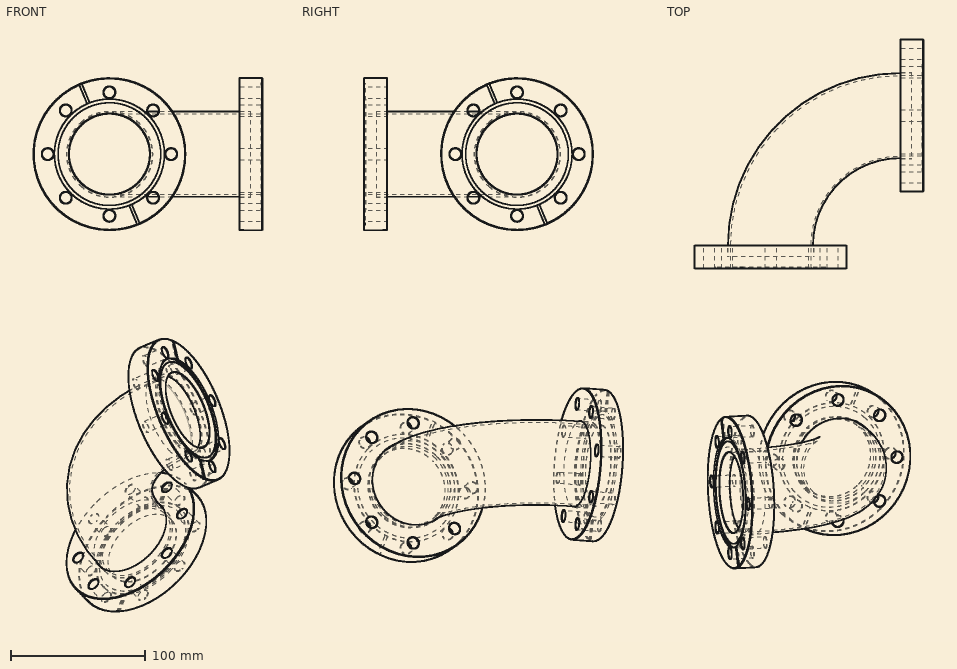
import cadquery as cq
import math

overall_length = 171.0
flange_diameter = 113.5
flange_thickness = 17.6
rim_chamfer = 0.5
port_offset = flange_diameter / 2
port_reach = overall_length - port_offset

bolt_count = 8
bolt_circle_diameter = 92.0
bolt_hole_diameter = 8.4
bolt_hole_chamfer = 0.43

recess_diameter = 82.1
recess_depth = 1.5
knife_edge_diameter = 76.6
knife_edge_depth = 0.5
flat_depth = 1.0

groove_width = 2.0
groove_depth = 1.0
groove_angle = 112.5

tube_outer_diameter = 63.6
tube_inner_diameter = 60.0
socket_diameter = 64.3
flange_bore_diameter = 60.2
bore_chamfer = 0.3
tube_end_depth = 9.2
bend_start_depth = flange_thickness
bend_radius = port_reach - bend_start_depth

front_port = cq.Plane(origin=(0, -port_reach, 0), xDir=(1, 0, 0), normal=(0, -1, 0))


def make_blank():
    """Chamfered disc with the tube socket behind and the narrower bore in front."""
    return (
        cq.Workplane("XY")
        .circle(flange_diameter / 2)
        .extrude(-flange_thickness)
        .faces("<Z or >Z")
        .edges()
        .chamfer(rim_chamfer)
        .faces("<Z")
        .workplane()
        .circle(socket_diameter / 2)
        .cutBlind(-(flange_thickness - tube_end_depth))
        .faces(">Z")
        .workplane()
        .circle(flange_bore_diameter / 2)
        .cutThruAll()
    )


def make_seal_recess():
    """Cutter for the recess: straight wall, cone up to the knife edge, inner flat and bore chamfer."""
    bore_radius = flange_bore_diameter / 2
    return (
        cq.Workplane("XZ")
        .moveTo(0, 0)
        .lineTo(recess_diameter / 2, 0)
        .lineTo(recess_diameter / 2, -recess_depth)
        .lineTo(knife_edge_diameter / 2, -knife_edge_depth)
        .lineTo(knife_edge_diameter / 2, -flat_depth)
        .lineTo(bore_radius + bore_chamfer, -flat_depth)
        .lineTo(bore_radius, -flat_depth - bore_chamfer)
        .lineTo(0, -flat_depth - bore_chamfer)
        .close()
        .revolve(360, (0, 0, 0), (0, 1, 0))
    )


def make_leak_grooves():
    """Cutter for the two opposite grooves that run from the recess to the rim."""
    recess_core = cq.Workplane("XY").circle(recess_diameter / 2).extrude(-groove_depth)
    return (
        cq.Workplane("XY")
        .rect(flange_diameter, groove_width)
        .extrude(-groove_depth)
        .rotate((0, 0, 0), (0, 0, 1), groove_angle)
        .cut(recess_core)
    )


def make_bolt_holes():
    """Cutter for the ring of through holes, each chamfered at both faces."""
    hole_radius = bolt_hole_diameter / 2
    mouth_radius = hole_radius + bolt_hole_chamfer
    bolt_hole = (
        cq.Workplane("XZ")
        .lineTo(mouth_radius, 0)
        .lineTo(hole_radius, -bolt_hole_chamfer)
        .lineTo(hole_radius, bolt_hole_chamfer - flange_thickness)
        .lineTo(mouth_radius, -flange_thickness)
        .lineTo(0, -flange_thickness)
        .close()
        .revolve(360, (0, 0, 0), (0, 1, 0))
        .val()
    )
    return (
        cq.Workplane("XY")
        .polarArray(bolt_circle_diameter / 2, 0, 360, bolt_count)
        .eachpoint(lambda place: bolt_hole.moved(place))
    )


def make_front_flange():
    flange = make_blank().cut(make_seal_recess()).cut(make_leak_grooves()).cut(make_bolt_holes())
    return flange.val().moved(front_port.location)


def make_elbow():
    """Bent tube with a short straight stub at each end."""
    stub_length = bend_start_depth - tube_end_depth
    bend_middle = bend_radius * (1 - math.cos(math.radians(45)))
    path = (
        cq.Workplane("XY")
        .moveTo(0, tube_end_depth - port_reach)
        .line(0, stub_length)
        .threePointArc((bend_middle, -bend_middle), (bend_radius, 0))
        .line(stub_length, 0)
    )
    return (
        cq.Workplane("XZ", origin=(0, tube_end_depth - port_reach, 0))
        .circle(tube_outer_diameter / 2)
        .circle(tube_inner_diameter / 2)
        .sweep(path)
    )


elbow = make_elbow()
flanges = []
for turn in (0, 90):
    flange = make_front_flange().rotate(cq.Vector(0, 0, 0), cq.Vector(0, 0, 1), turn)
    flanges.append(flange)

result = cq.Compound.makeCompound([elbow.val(), *flanges])